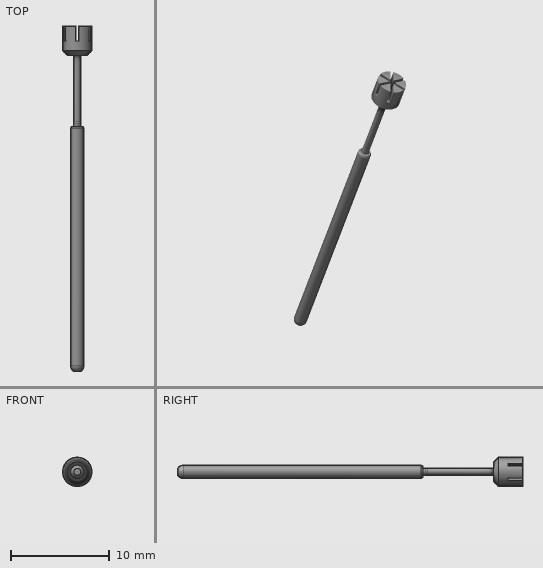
import cadquery as cq

total_length = 35.2
head_end = total_length / 2
tail_end = -total_length / 2

head_diameter = 3.0
head_radius = head_diameter / 2
head_length = 3.0
head_bevel = 0.5
slot_count = 6
slot_width = 0.3
slot_depth = 1.5

stem_diameter = 0.75
stem_radius = stem_diameter / 2
stem_length = 6.72
collar_diameter = 0.77
collar_radius = collar_diameter / 2
flare_length = 0.2

barrel_diameter = 1.37
barrel_radius = barrel_diameter / 2
barrel_length = 25.0
mouth_bevel_radial = 0.1
mouth_bevel_length = 0.18
tail_flat_radius = 0.35
tail_round_length = 0.6

head_back = head_end - head_length
flare_start = head_back - stem_length
flare_end = flare_start - flare_length
mouth = tail_end + barrel_length


def probe_body():
    """Revolve the half-section (radius, y) of head, stem and barrel about the Y axis."""
    return (
        cq.Workplane("XY")
        .moveTo(0, head_end)
        .lineTo(head_radius, head_end)
        .lineTo(head_radius, head_back + head_bevel)
        .lineTo(head_radius - head_bevel, head_back)
        .lineTo(stem_radius, head_back)
        .lineTo(stem_radius, flare_start)
        .lineTo(collar_radius, flare_end)
        .lineTo(collar_radius, mouth)
        .lineTo(barrel_radius - mouth_bevel_radial, mouth)
        .lineTo(barrel_radius, mouth - mouth_bevel_length)
        .lineTo(barrel_radius, tail_end + tail_round_length)
        .tangentArcPoint((tail_flat_radius, tail_end), relative=False)
        .lineTo(0, tail_end)
        .close()
        .revolve(360, (0, 0), (0, 1))
    )


def head_slots():
    """Full-diameter cutters; each one makes two opposite slots in the head."""
    slots = cq.Workplane("XY")
    for index in range(slot_count // 2):
        cutter = (
            cq.Workplane("XY")
            .box(slot_width, slot_depth, head_diameter)
            .translate((0, head_end - slot_depth / 2, 0))
            .rotate((0, 0, 0), (0, 1, 0), index * 360 / slot_count)
        )
        slots = slots.add(cutter)
    return slots.combine()


result = probe_body().cut(head_slots())